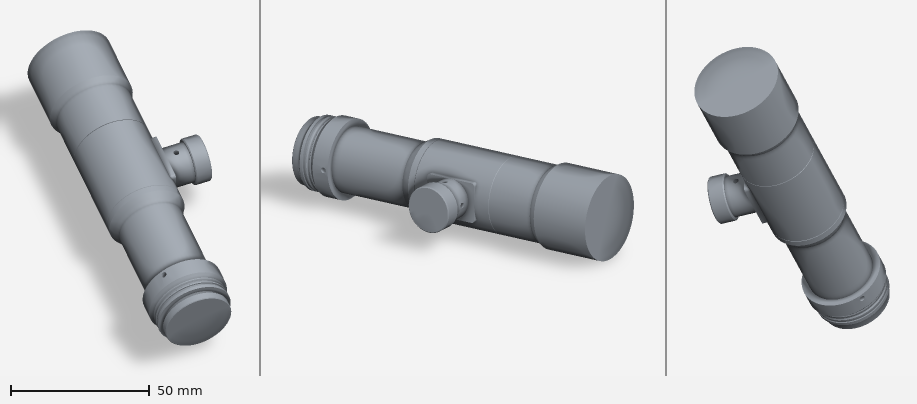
import cadquery as cq
import math

total_length = 128.5
total_width = 45.1

front_diameter = 32.0
front_radius = front_diameter / 2
front_rim_end = 22.1
front_cone_end = 24.8

barrel_radius = 14.5
housing_start = 42.4
housing_end = 74.8
seam_chamfer = 0.3

pad_length = 20.2
pad_width = 15.2
pad_corner_radius = 1.2

rear_radius = 12.3
rear_cone_start = 77.2
rear_cone_end = 81.1

ring_start = 111.5
ring_radius = 15.0
ring_rim_end = 118.0
crest_radius = 14.0
valley_radius = 13.5
ring_cone_end = 119.7
thread_flank = 0.4
front_crest_end = 120.0
middle_crest_start = 121.5
middle_crest_end = 122.0
rear_crest_start = 123.1
neck_radius = 12.0
neck_start = 124.3
flange_radius = 12.7
flange_start = 125.8
flange_chamfer = 0.3

knob_x = 58.9
knob_stem_radius = 7.6
knob_cap_radius = 8.7
knob_cap_start = 22.9
knob_top = total_width - front_radius
knob_chamfer = 0.4

screw_hole_radius = 1.0
screw_hole_depth = 2.6
ring_hole_x = ring_start + 1.8
ring_hole_count = 3
knob_hole_y = 18.5
knob_hole_directions = [(0, 0, 1), (-1, 0, 0)]
hole_tool_clearance = 1.3


def revolve_about_x(profile):
    """Turn a list of (x, radius) points into a solid about the X axis."""
    first_x = profile[0][0]
    last_x = profile[-1][0]
    outline = [(first_x, 0), *profile, (last_x, 0)]
    return cq.Workplane("XY").polyline(outline).close().revolve(360, (0, 0, 0), (1, 0, 0))


def cut_screw_hole(body, surface_point, outward):
    """Cut a blind hole into the body, entering at surface_point against the outward direction."""
    direction = cq.Vector(*outward)
    start = cq.Vector(*surface_point) + direction * hole_tool_clearance
    tool_length = hole_tool_clearance + screw_hole_depth
    tool = cq.Solid.makeCylinder(screw_hole_radius, tool_length, start, -direction)
    return body.cut(cq.Workplane(tool))


def make_front_tube():
    return revolve_about_x([
        (0, front_radius),
        (front_rim_end, front_radius),
        (front_cone_end, barrel_radius),
        (housing_start, barrel_radius),
    ])


def make_housing():
    barrel = revolve_about_x([
        (housing_start, barrel_radius - seam_chamfer),
        (housing_start + seam_chamfer, barrel_radius),
        (housing_end - seam_chamfer, barrel_radius),
        (housing_end, barrel_radius - seam_chamfer),
    ])
    pad = (
        cq.Workplane("XZ", origin=(knob_x, 0, 0))
        .rect(pad_length, pad_width)
        .extrude(-barrel_radius)
        .edges("|Y")
        .fillet(pad_corner_radius)
    )
    return barrel.union(pad)


def make_rear_tube():
    return revolve_about_x([
        (housing_end, barrel_radius),
        (rear_cone_start, barrel_radius),
        (rear_cone_end, rear_radius),
        (ring_start, rear_radius),
    ])


def make_mount_ring():
    ring = revolve_about_x([
        (ring_start, ring_radius),
        (ring_rim_end, ring_radius),
        (ring_cone_end, valley_radius),
        (ring_cone_end, crest_radius),
        (front_crest_end, crest_radius),
        (front_crest_end + thread_flank, valley_radius),
        (middle_crest_start - thread_flank, valley_radius),
        (middle_crest_start, crest_radius),
        (middle_crest_end, crest_radius),
        (middle_crest_end, valley_radius),
        (rear_crest_start, valley_radius),
        (rear_crest_start, crest_radius),
        (neck_start, crest_radius),
        (neck_start, neck_radius),
        (flange_start, neck_radius),
        (flange_start, flange_radius),
        (total_length - flange_chamfer, flange_radius),
        (total_length, flange_radius - flange_chamfer),
    ])
    for index in range(ring_hole_count):
        angle = math.radians(360 / ring_hole_count * index)
        outward = (0, math.cos(angle), math.sin(angle))
        surface_point = (ring_hole_x, ring_radius * outward[1], ring_radius * outward[2])
        ring = cut_screw_hole(ring, surface_point, outward)
    return ring


def make_knob():
    stem = (
        cq.Workplane("XZ", origin=(knob_x, barrel_radius, 0))
        .circle(knob_stem_radius)
        .extrude(barrel_radius - knob_cap_start)
    )
    cap = (
        cq.Workplane("XZ", origin=(knob_x, knob_cap_start, 0))
        .circle(knob_cap_radius)
        .extrude(knob_cap_start - knob_top)
        .edges()
        .chamfer(knob_chamfer)
    )
    knob = stem.union(cap)
    for outward in knob_hole_directions:
        surface_point = (
            knob_x + knob_stem_radius * outward[0],
            knob_hole_y,
            knob_stem_radius * outward[2],
        )
        knob = cut_screw_hole(knob, surface_point, outward)
    return knob


front_tube = make_front_tube()
housing = make_housing()
rear_tube = make_rear_tube()
mount_ring = make_mount_ring()
knob = make_knob()

result = cq.Compound.makeCompound([
    front_tube.val(),
    housing.val(),
    rear_tube.val(),
    mount_ring.val(),
    knob.val(),
])